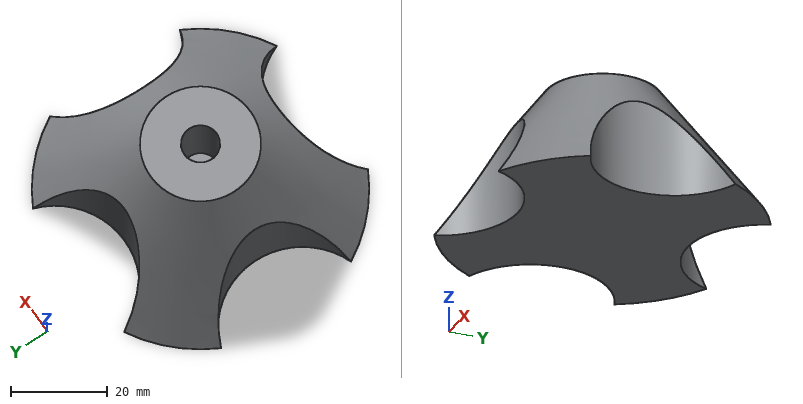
import cadquery as cq
import math

height = 30.0
top_radius = 12.55

leg_count = 4
half_width = 30.9
tip_offset = 16.45
waist_radius = 19.35

hole_diameter = 8.1
hole_depth = 18.55

base_radius = math.hypot(half_width, tip_offset)

scallop_sagitta = half_width - waist_radius
scallop_radius = (tip_offset**2 + scallop_sagitta**2) / (2 * scallop_sagitta)
scallop_center = waist_radius + scallop_radius


def make_cone():
    profile = [(0, 0), (base_radius, 0), (top_radius, height), (0, height)]
    return cq.Workplane("XZ").polyline(profile).close().revolve(360, (0, 0), (0, 1))


def make_scallops():
    return (
        cq.Workplane("XY")
        .polarArray(scallop_center, 0, 360, leg_count)
        .circle(scallop_radius)
        .extrude(height)
    )


def make_hole():
    return (
        cq.Workplane("XY", origin=(0, 0, height - hole_depth))
        .circle(hole_diameter / 2)
        .extrude(hole_depth)
    )


result = make_cone().cut(make_scallops()).cut(make_hole())